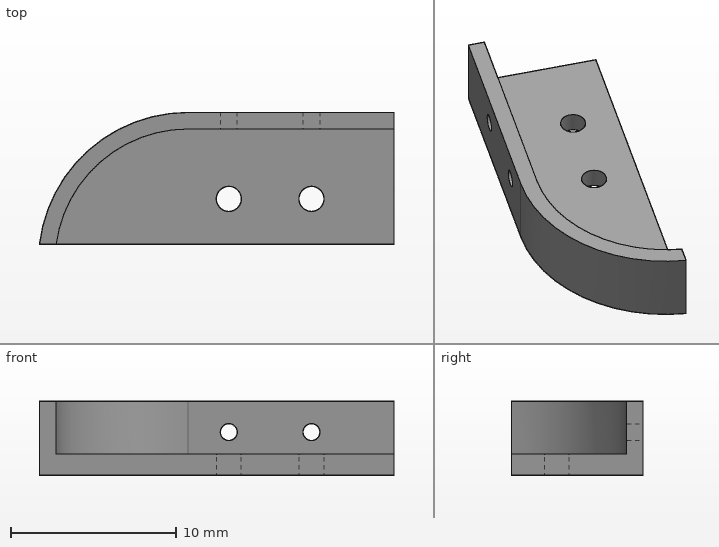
import cadquery as cq
import math

length = 21.5
width = 8.0
height = 4.5

floor_thickness = 1.3
wall_thickness = 1.0
straight_length = 12.5

hole_spacing = 5.0
end_to_hole = 5.0
floor_hole_diameter = 1.5
floor_hole_y = 2.75
wall_hole_diameter = 1.0
wall_hole_z = 2.62

arc_x = length - straight_length
arc_radius = (arc_x**2 + width**2) / (2 * width)
arc_y = width - arc_radius

hole_xs = [length - end_to_hole - i * hole_spacing for i in range(2)]


def rounded_outline(inset, base_z, depth):
    """Extrude the plate outline, moved inward from its arc and back edge."""
    radius = arc_radius - inset
    start_angle = math.pi - math.asin(-arc_y / radius)
    middle_angle = (start_angle + math.pi / 2) / 2
    start_x = arc_x + radius * math.cos(start_angle)
    middle = (
        arc_x + radius * math.cos(middle_angle),
        arc_y + radius * math.sin(middle_angle),
    )
    back_y = width - inset
    return (
        cq.Workplane("XY", origin=(0, 0, base_z))
        .moveTo(start_x, 0)
        .threePointArc(middle, (arc_x, back_y))
        .lineTo(length, back_y)
        .lineTo(length, 0)
        .close()
        .extrude(depth)
    )


body = rounded_outline(0, 0, height)
pocket = rounded_outline(wall_thickness, floor_thickness, height - floor_thickness)
body = body.cut(pocket)

floor_holes = (
    cq.Workplane("XY")
    .pushPoints([(x, floor_hole_y) for x in hole_xs])
    .circle(floor_hole_diameter / 2)
    .extrude(height)
)

wall_holes = (
    cq.Workplane("XZ")
    .pushPoints([(x, wall_hole_z) for x in hole_xs])
    .circle(wall_hole_diameter / 2)
    .extrude(-width)
)

result = body.cut(floor_holes).cut(wall_holes)